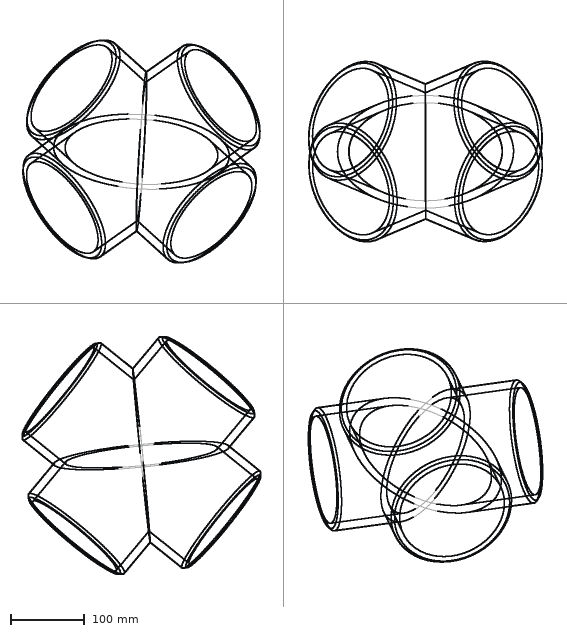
import cadquery as cq

overall_length = 285.5
outer_diameter = 168.28
wall_thickness = 10.97
end_bevel = 3.7

bore_diameter = outer_diameter - 2 * wall_thickness


def centred_cylinder(plane, diameter):
    """Cylinder of the full pipe length, centred on the origin along the plane normal."""
    return cq.Workplane(plane).circle(diameter / 2).extrude(overall_length / 2, both=True)


def beveled_pipe_body(plane):
    """Solid pipe envelope with both end edges beveled."""
    return centred_cylinder(plane, outer_diameter).faces("%PLANE").edges().chamfer(end_bevel)


def cross_body():
    """Union of the pipe along X and the pipe along Y."""
    return beveled_pipe_body("YZ").union(beveled_pipe_body("XZ"))


def cross_bores():
    """Through bores along X and Y."""
    return centred_cylinder("YZ", bore_diameter).union(centred_cylinder("XZ", bore_diameter))


result = cross_body().cut(cross_bores())